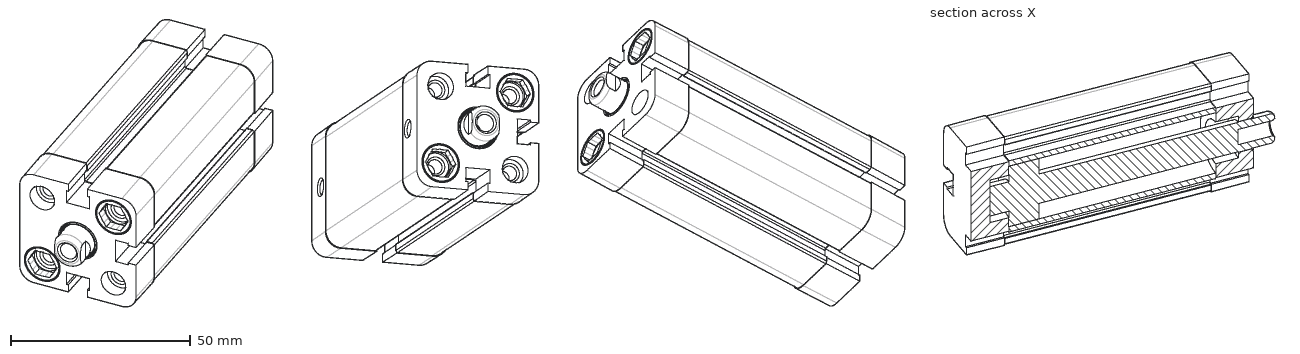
import cadquery as cq
import math


TOTAL_LENGTH = 93.6
ROD_PROTRUSION = 6.55
HOUSING_LENGTH = TOTAL_LENGTH - ROD_PROTRUSION
CAP_LENGTH = 11.7
CAP_SIDE = 36.3
CAP_DRAFT = 0.6
BARREL_SIDE = 35.9
CORNER_RADIUS = 4.5
BORE_DIAMETER = 20.0

SLOT_HALF_WIDTH = 3.6
SLOT_LIP_HEIGHT = 15.6
CAP_SLOT_FLOOR = 11.7
CAP_SLOT_MOUTH = 5.9
BARREL_SLOT_FLOOR = 12.0
BARREL_SLOT_MOUTH = 5.3
BARREL_LIP_CHAMFER = 0.6
BARREL_SLOT_CORNER = 0.5

THREAD_DIAMETER = 4.1
THREAD_MOUTH = 5.3
PORT_INSET = 7.5
PORT_FLOOR = 6.7

CORNER_OFFSET = 11.0
COUNTERBORE_DIAMETER = 7.6
COUNTERBORE_DEPTH = 4.0
CORNER_HOLE_DEPTH = 10.8
SOCKET_GROOVE_OUTER = 11.1
SOCKET_GROOVE_INNER = 10.3
SOCKET_BORE = 8.0
HEX_ACROSS_FLATS = 7.8
SOCKET_DEPTH = 2.8

FRONT_CHAMBER_DIAMETER = 13.85
FRONT_CHAMBER_START = 4.7
REAR_CHAMBER_DIAMETER = 14.0
REAR_WALL = 6.0

SEAL_GROOVE_OUTER = 12.0
SEAL_GROOVE_INNER = 10.9
SEAL_GAP_DIAMETER = 10.5
SEAL_GAP_DEPTH = 0.6

ROD_DIAMETER = 10.0
ROD_TIP_RADIUS = 1.26
ROD_ACROSS_FLATS = 8.05
FLAT_LENGTH = 3.3
ROD_BORE = 5.0
ROD_BORE_MOUTH = 6.2
ROD_BORE_DEPTH = 11.2
PISTON_LENGTH = 9.4


def along_y(y):
    """Workplane facing +Y at the given Y, with local x = X and local y = -Z."""
    return cq.Workplane("XZ", origin=(0, y, 0)).transformed(rotate=(180, 0, 0))


def disc(diameter, y, length, x=0.0, z=0.0):
    """Cylinder along Y that starts at the given Y."""
    start = cq.Vector(x, y, z)
    return cq.Workplane(cq.Solid.makeCylinder(diameter / 2, length, start, cq.Vector(0, 1, 0)))


def cone(diameter, end_diameter, base, direction):
    """45 degree cone that narrows from diameter to end_diameter along direction."""
    depth = (diameter - end_diameter) / 2
    return cq.Workplane(
        cq.Solid.makeCone(diameter / 2, end_diameter / 2, depth, cq.Vector(*base), cq.Vector(*direction))
    )


def turned(slot):
    """Copies of a top slot for the three slotted sides: top, right and bottom."""
    return [slot.rotate((0, 0, 0), (0, 1, 0), angle) for angle in (0, 90, 180)]


def cap_slot(y):
    wide_height = SLOT_LIP_HEIGHT - CAP_SLOT_FLOOR
    wide = cq.Workplane().box(2 * SLOT_HALF_WIDTH, CAP_LENGTH, wide_height, centered=(True, False, False))
    mouth_height = CAP_SIDE / 2 - CAP_SLOT_FLOOR
    mouth = cq.Workplane().box(CAP_SLOT_MOUTH, CAP_LENGTH, mouth_height, centered=(True, False, False))
    return wide.union(mouth).translate((0, y, CAP_SLOT_FLOOR))


def barrel_slot(y, length):
    top = BARREL_SIDE / 2
    mouth = BARREL_SLOT_MOUTH / 2
    wide_height = SLOT_LIP_HEIGHT - BARREL_SLOT_FLOOR
    wide = (
        cq.Workplane()
        .box(2 * SLOT_HALF_WIDTH, length, wide_height, centered=(True, False, False))
        .edges("|Y")
        .chamfer(BARREL_SLOT_CORNER)
        .translate((0, y, BARREL_SLOT_FLOOR))
    )
    opening = (
        cq.Workplane("XZ", origin=(0, y, 0))
        .moveTo(-mouth, BARREL_SLOT_FLOOR)
        .lineTo(mouth, BARREL_SLOT_FLOOR)
        .lineTo(mouth, top - BARREL_LIP_CHAMFER)
        .lineTo(mouth + BARREL_LIP_CHAMFER, top)
        .lineTo(-mouth - BARREL_LIP_CHAMFER, top)
        .lineTo(-mouth, top - BARREL_LIP_CHAMFER)
        .close()
        .extrude(-length)
    )
    return wide.union(opening)


def port(y):
    """Threaded air port in the -X side, with a flat floor that breaks into the chamber."""
    face = -CAP_SIDE / 2
    depth = CAP_SIDE / 2 - PORT_FLOOR
    hole = cq.Workplane(
        cq.Solid.makeCylinder(THREAD_DIAMETER / 2, depth, cq.Vector(face, y, 0), cq.Vector(1, 0, 0))
    )
    return hole.union(cone(THREAD_MOUTH, THREAD_DIAMETER, (face, y, 0), (1, 0, 0)))


def counterbored_hole(x, z):
    hole = disc(COUNTERBORE_DIAMETER, 0, COUNTERBORE_DEPTH, x, z)
    thread = disc(THREAD_DIAMETER, 0, CORNER_HOLE_DEPTH, x, z)
    mouth = cone(THREAD_MOUTH, THREAD_DIAMETER, (x, COUNTERBORE_DEPTH, z), (0, 1, 0))
    return hole.union(thread).union(mouth)


def v_groove(outer_diameter, inner_diameter, x=0.0, z=0.0):
    """Ring groove of V section in the front face."""
    outer = outer_diameter / 2
    inner = inner_diameter / 2
    middle = (outer + inner) / 2
    profile = (
        cq.Workplane("XY")
        .moveTo(inner, 0)
        .lineTo(outer, 0)
        .lineTo(middle, middle - inner)
        .close()
    )
    return profile.revolve(360, (0, 0, 0), (0, 1, 0)).translate((x, 0, z))


def socket_recess(x, z):
    """Ringed hexagon socket, its flats relieved by a round bore, above a counterbored hole."""
    across_corners = HEX_ACROSS_FLATS / math.cos(math.pi / 6)
    hexagon = along_y(0).center(x, -z).polygon(6, across_corners).extrude(SOCKET_DEPTH)
    socket = hexagon.union(disc(SOCKET_BORE, 0, SOCKET_DEPTH, x, z))
    return socket.union(counterbored_hole(x, z)).union(v_groove(SOCKET_GROOVE_OUTER, SOCKET_GROOVE_INNER, x, z))


def rod_seal():
    groove = v_groove(SEAL_GROOVE_OUTER, SEAL_GROOVE_INNER)
    return groove.union(disc(SEAL_GAP_DIAMETER, 0, SEAL_GAP_DEPTH))


def plain_cap(outer_face, inward):
    """Slotted cap that tapers slightly from the barrel joint to its outer face.

    inward is +1 where the barrel lies on the +Y side of the cap and -1 on the other side.
    """
    joint = outer_face + inward * CAP_LENGTH
    outline = cq.Sketch().rect(CAP_SIDE, CAP_SIDE).vertices().fillet(CORNER_RADIUS)
    joint_plane = cq.Workplane("XZ", origin=(0, joint, 0))
    block = joint_plane.placeSketch(outline).extrude(inward * CAP_LENGTH, taper=CAP_DRAFT)
    for slot in turned(cap_slot(min(outer_face, joint))):
        block = block.cut(slot)
    return block


def make_front_cap():
    cap = plain_cap(0, 1)
    cap = cap.cut(disc(ROD_DIAMETER, 0, CAP_LENGTH))
    cap = cap.cut(disc(FRONT_CHAMBER_DIAMETER, FRONT_CHAMBER_START, CAP_LENGTH - FRONT_CHAMBER_START))
    cap = cap.cut(rod_seal()).cut(port(PORT_INSET))
    for side in (-1, 1):
        cap = cap.cut(counterbored_hole(side * CORNER_OFFSET, -side * CORNER_OFFSET))
        cap = cap.cut(socket_recess(side * CORNER_OFFSET, side * CORNER_OFFSET))
    return cap


def make_barrel():
    length = HOUSING_LENGTH - 2 * CAP_LENGTH
    barrel = along_y(CAP_LENGTH).rect(BARREL_SIDE, BARREL_SIDE).extrude(length)
    barrel = barrel.edges("|Y").fillet(CORNER_RADIUS)
    for slot in turned(barrel_slot(CAP_LENGTH, length)):
        barrel = barrel.cut(slot)
    return barrel.cut(disc(BORE_DIAMETER, CAP_LENGTH, length))


def make_rear_cap():
    start = HOUSING_LENGTH - CAP_LENGTH
    cap = plain_cap(HOUSING_LENGTH, -1)
    cap = cap.cut(disc(REAR_CHAMBER_DIAMETER, start, CAP_LENGTH - REAR_WALL))
    return cap.cut(port(HOUSING_LENGTH - PORT_INSET))


def flat_cutter():
    """Material removed from the +X side of the rod end, with a 45 degree run-out."""
    flat = ROD_ACROSS_FLATS / 2
    rod_radius = ROD_DIAMETER / 2
    flat_end = FLAT_LENGTH - ROD_PROTRUSION
    return (
        cq.Workplane("XY")
        .moveTo(flat, -ROD_PROTRUSION)
        .lineTo(flat, flat_end)
        .lineTo(rod_radius, flat_end + rod_radius - flat)
        .lineTo(rod_radius, -ROD_PROTRUSION)
        .close()
        .extrude(rod_radius, both=True)
    )


def make_piston_rod():
    """Rod with its piston at the rear of the barrel and a tail in the rear chamber."""
    tip = -ROD_PROTRUSION
    tail_end = HOUSING_LENGTH - REAR_WALL
    rod = disc(ROD_DIAMETER, tip, tail_end - tip).faces("<Y").edges().fillet(ROD_TIP_RADIUS)
    rod = rod.union(disc(BORE_DIAMETER, HOUSING_LENGTH - CAP_LENGTH - PISTON_LENGTH, PISTON_LENGTH))
    rod = rod.cut(flat_cutter()).cut(flat_cutter().mirror("YZ"))
    rod = rod.cut(disc(ROD_BORE, tip, ROD_BORE_DEPTH))
    return rod.cut(cone(ROD_BORE_MOUTH, ROD_BORE, (0, tip, 0), (0, 1, 0)))


front_cap = make_front_cap()
barrel = make_barrel()
rear_cap = make_rear_cap()
piston_rod = make_piston_rod()

result = cq.Compound.makeCompound([front_cap.val(), barrel.val(), rear_cap.val(), piston_rod.val()])